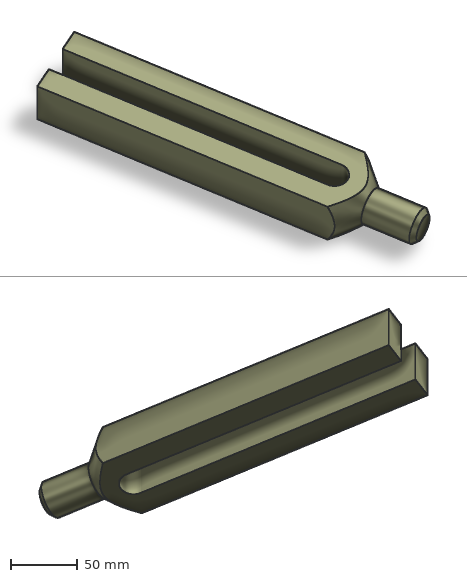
import cadquery as cq

total_length = 315.0
body_width = 60.0
body_height = 40.0
slot_width = 22.0
slot_length = 250.0
pin_diameter = 30.0
pin_length = 45.0
pin_chamfer = 4.0

pin_radius = pin_diameter / 2
shoulder_x = total_length - pin_length
cone_radius = body_width
cone_base_x = shoulder_x - (cone_radius - pin_radius)


def make_body():
    """Rectangular bar whose +X end is turned to a 45 degree cone."""
    bar = cq.Workplane("XY").box(shoulder_x, body_width, body_height, centered=(False, True, True))
    turned_envelope = (
        cq.Workplane("XY")
        .moveTo(0, 0)
        .lineTo(0, cone_radius)
        .lineTo(cone_base_x, cone_radius)
        .lineTo(shoulder_x, pin_radius)
        .lineTo(shoulder_x, 0)
        .close()
        .revolve(360, (0, 0, 0), (1, 0, 0))
    )
    return bar.intersect(turned_envelope)


def make_pin():
    """Round pin on the cone, chamfered at its free end."""
    pin = cq.Workplane("YZ").workplane(offset=shoulder_x).circle(pin_radius).extrude(pin_length)
    return pin.faces(">X").chamfer(pin_chamfer)


def make_slot():
    """Open slot through the full height, with a round closed end."""
    slot_radius = slot_width / 2
    straight_length = slot_length - slot_radius
    return (
        cq.Workplane("XY")
        .workplane(offset=-body_height / 2)
        .moveTo(0, -slot_radius)
        .lineTo(straight_length, -slot_radius)
        .threePointArc((slot_length, 0), (straight_length, slot_radius))
        .lineTo(0, slot_radius)
        .close()
        .extrude(body_height)
    )


result = make_body().union(make_pin()).cut(make_slot())